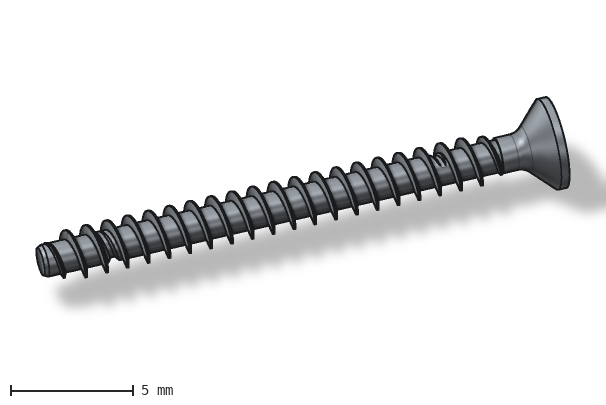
import cadquery as cq
import math

length = 22.0

head_radius = 3.8 / 2
head_rim = 0.35
neck_radius = 0.97
shank_radius = 1.5 / 2
shank_start = 1.8
shank_end = 2.46
countersink_end = head_rim + head_radius - neck_radius

core_radius = 1.35 / 2
tip_radius = 1.17 / 2
tip_chamfer = 0.18

first_crest = 3.72
last_crest = 20.61
turns_between_crests = 19
pitch = (last_crest - first_crest) / turns_between_crests
crest_radius = 2.1 / 2
thread_sink = 0.033
root_radius = core_radius - thread_sink
root_width = 0.26
crest_width = 0.07
fade_in_start = 2.29
fade_in_radius = 0.73
full_start = 3.4
full_end = 20.68
fade_out_end = 21.75
fade_out_sink = 0.02
fade_out_radius = core_radius - fade_out_sink

groove_floor_radius = 0.85 / 2
groove_floor_width = 0.2
groove_width = 0.53
groove_clearance = 0.05
groove_turns = 0.6
groove_shift = 0.07
head_groove_turns = 2
tip_groove_turns = 17
head_groove_depth = first_crest + head_groove_turns * pitch - groove_shift
tip_groove_depth = first_crest + tip_groove_turns * pitch + groove_shift

points_per_turn = 24


def helix_edge(start, end, start_radius, end_radius, axial_offset, phase):
    """Right-handed helix whose radius changes evenly; it crosses +Z at depth `phase`."""
    steps = math.ceil(abs(end - start) / pitch * points_per_turn)
    points = []
    for i in range(steps + 1):
        share = i / steps
        depth = start + (end - start) * share
        radius = start_radius + (end_radius - start_radius) * share
        angle = 2 * math.pi * (depth - phase) / pitch
        points.append(
            cq.Vector(-radius * math.sin(angle), -depth - axial_offset, radius * math.cos(angle))
        )
    return cq.Edge.makeSpline(points)


def helical_bar(start, end, inner_radii, outer_radii, inner_width, outer_width, phase):
    """Solid bar of trapezoidal section wound between two depths.

    The radii are (start, end) pairs for the inner and outer sides of the section.
    """
    edges = [
        helix_edge(start, end, *inner_radii, -inner_width / 2, phase),
        helix_edge(start, end, *outer_radii, -outer_width / 2, phase),
        helix_edge(start, end, *outer_radii, outer_width / 2, phase),
        helix_edge(start, end, *inner_radii, inner_width / 2, phase),
    ]
    faces = [cq.Face.makeRuledSurface(edges[i], edges[(i + 1) % 4]) for i in range(4)]
    for corners in ([e.startPoint() for e in edges], [e.endPoint() for e in edges]):
        faces.append(cq.Face.makeFromWires(cq.Wire.makePolygon(corners, close=True)))
    return cq.Solid.makeSolid(cq.Shell.makeShell(faces)).fix()


def make_body():
    """Head, neck, shank and core turned about the Y axis."""
    return (
        cq.Workplane("XY")
        .lineTo(head_radius, 0)
        .lineTo(head_radius, -head_rim)
        .lineTo(neck_radius, -countersink_end)
        .tangentArcPoint((shank_radius, -shank_start), relative=False)
        .lineTo(shank_radius, -shank_end)
        .lineTo(core_radius, -shank_end)
        .lineTo(core_radius, -(length - tip_chamfer))
        .lineTo(tip_radius, -length)
        .lineTo(0, -length)
        .close()
        .revolve(360, (0, 0, 0), (0, 1, 0))
    )


def make_thread_sections():
    """Fade-in, full and fade-out stretches of the thread."""
    stretches = [
        (fade_in_start, full_start, fade_in_radius, crest_radius),
        (full_start, full_end, crest_radius, crest_radius),
        (full_end, fade_out_end, crest_radius, fade_out_radius),
    ]
    return [
        helical_bar(
            start,
            end,
            (root_radius, root_radius),
            (start_crest, end_crest),
            root_width,
            crest_width,
            first_crest,
        )
        for start, end, start_crest, end_crest in stretches
    ]


def make_flat_notch(depth):
    """Flat-bottomed cut across the -Z side, tilted to lie along the thread."""
    outer = core_radius + groove_clearance
    lead_angle = math.degrees(math.atan(pitch / (2 * math.pi * core_radius)))
    return (
        cq.Workplane("YZ")
        .polyline([
            (-groove_floor_width / 2, -groove_floor_radius),
            (groove_floor_width / 2, -groove_floor_radius),
            (groove_width / 2, -outer),
            (-groove_width / 2, -outer),
        ])
        .close()
        .extrude(core_radius, both=True)
        .rotate((0, 0, 0), (0, 0, 1), -lead_angle)
        .translate((0, -depth, 0))
    )


def make_fading_groove(depth, direction):
    """Helical groove starting on the -Z side; direction -1 runs to the head, +1 to the tip."""
    outer = core_radius + groove_clearance
    return helical_bar(
        depth,
        depth + direction * groove_turns * pitch,
        (groove_floor_radius, core_radius),
        (outer, outer),
        groove_floor_width,
        groove_width,
        depth + pitch / 2,
    )


result = make_body()
for groove_depth, fade_direction in ((head_groove_depth, -1), (tip_groove_depth, 1)):
    result = result.cut(make_flat_notch(groove_depth))
    result = result.cut(cq.Workplane(make_fading_groove(groove_depth, fade_direction)))
for section in make_thread_sections():
    result = result.union(cq.Workplane(section))